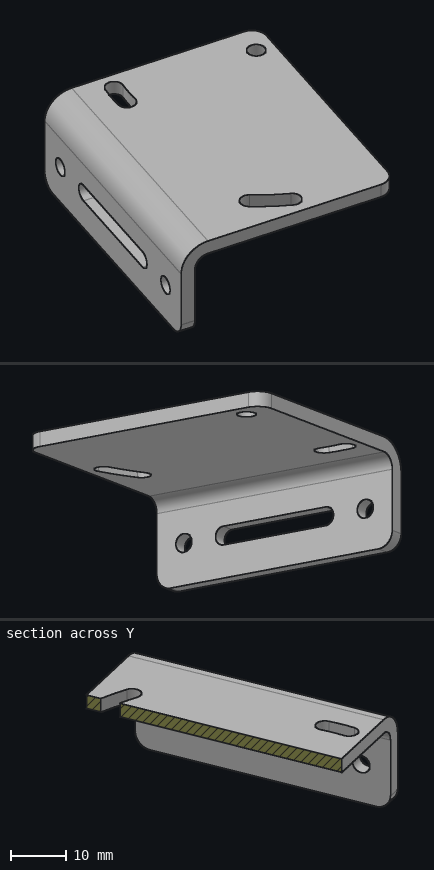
import cadquery as cq
import math

width = 52.0
depth = 44.0
height = 20.0
thickness = 2.85
bend_outer_radius = 5.5
bend_inner_radius = bend_outer_radius - thickness
corner_radius = 3.0

hole_diameter = 3.5
hole_radius = hole_diameter / 2

side_inset = 6.0
pivot_rear_inset = 3.75
pivot_x = -width / 2 + side_inset
pivot_y = depth - pivot_rear_inset
near_slot_radius = 28.0
near_slot_angle = -90.0
far_slot_radius = 45.0
far_slot_angle = -25.0
slot_half_sweep = 5.0

flange_hole_z = -height + 8.0
flange_hole_x = width / 2 - side_inset
flange_slot_length = 26.0


def polar(radius, angle):
    """Point relative to the pivot, angle in degrees from +X."""
    a = math.radians(angle)
    return (radius * math.cos(a), radius * math.sin(a))


def arc_slot(radius, angle):
    """Cutter for a round-ended slot curved about the pivot."""
    start = angle - slot_half_sweep
    end = angle + slot_half_sweep
    inner = radius - hole_radius
    outer = radius + hole_radius
    cap_offset = math.degrees(hole_radius / radius)
    return (
        cq.Workplane("XY", origin=(pivot_x, pivot_y, -thickness))
        .moveTo(*polar(outer, start))
        .threePointArc(polar(outer, angle), polar(outer, end))
        .threePointArc(polar(radius, end + cap_offset), polar(inner, end))
        .threePointArc(polar(inner, angle), polar(inner, start))
        .threePointArc(polar(radius, start - cap_offset), polar(outer, start))
        .close()
        .extrude(thickness)
    )


def bent_sheet():
    """L-shaped sheet: outer front face at Y = 0, top face at Z = 0."""
    profile = (
        cq.Workplane("YZ", origin=(-width / 2, 0, 0))
        .moveTo(depth, 0)
        .lineTo(bend_outer_radius, 0)
        .radiusArc((0, -bend_outer_radius), -bend_outer_radius)
        .lineTo(0, -height)
        .lineTo(thickness, -height)
        .lineTo(thickness, -bend_outer_radius)
        .radiusArc((bend_outer_radius, -thickness), bend_inner_radius)
        .lineTo(depth, -thickness)
        .close()
    )
    sheet = profile.extrude(width)
    sheet = sheet.faces(">Y").edges("|Z").fillet(corner_radius)
    return sheet.faces("<Z").edges("|Y").fillet(corner_radius)


def pivot_hole():
    return (
        cq.Workplane("XY", origin=(pivot_x, pivot_y, -thickness))
        .circle(hole_radius)
        .extrude(thickness)
    )


def flange_openings():
    """Two round holes with a straight slot between them."""
    plane = cq.Workplane("XZ", origin=(0, 0, flange_hole_z))
    holes = (
        plane.pushPoints([(-flange_hole_x, 0), (flange_hole_x, 0)])
        .circle(hole_radius)
        .extrude(-thickness)
    )
    slot = plane.slot2D(flange_slot_length, hole_diameter).extrude(-thickness)
    return holes.union(slot)


result = (
    bent_sheet()
    .cut(pivot_hole())
    .cut(arc_slot(near_slot_radius, near_slot_angle))
    .cut(arc_slot(far_slot_radius, far_slot_angle))
    .cut(flange_openings())
)